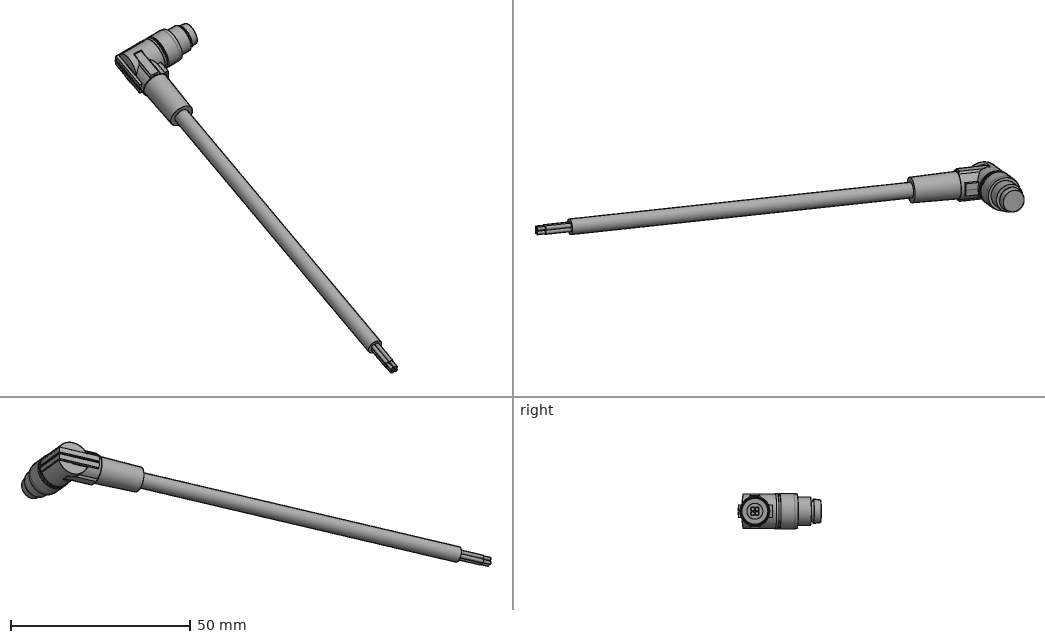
import cadquery as cq
import math


TOTAL_LENGTH = 138.6
TOTAL_WIDTH = 23.3
NECK_END = 15.0
SLEEVE_END = 28.4
CABLE_END = 128.8
INSULATION_END = 136.3

LEAN_ANGLE = 5.0
BODY_RADIUS = 4.9
COLLAR_RADIUS = 5.0
COLLAR_TOP_RADIUS = 4.9
GROOVE_RADIUS = 4.5
NOSE_RADIUS = 4.0
LATCH_GROOVE_RADIUS = 2.9
TIP_BASE_RADIUS = 3.5
TIP_END_RADIUS = 3.2
HEAD_BOTTOM = -5.5
RIM_BOTTOM = 5.7
RIM_TOP = 6.4
COLLAR_BOTTOM = 7.0
COLLAR_TAPER_START = 10.8
COLLAR_TOP = 11.8
NOSE_TOP = 15.5
TIP_BOTTOM = 16.4

ROOF_RIDGE_Y = -3.9
ROOF_EAVE_Y = -3.3

RIB_HALF_WIDTH = 1.8
RIB_EDGE_DROP = 0.1
RIB_REACH = 27.7
BACK_RIB_RADIUS = 5.0
UNDER_RIB_Y = -4.7
UPPER_RIB_Y = 5.0
LONG_RIB_END = 13.9
RIB_GROOVE_WIDTH = 0.4
RIB_GROOVE_DEPTH = 0.3

LEAN_SIN = math.sin(math.radians(LEAN_ANGLE))
LEAN_COS = math.cos(math.radians(LEAN_ANGLE))
HEAD_X = COLLAR_RADIUS * LEAN_COS + COLLAR_TAPER_START * LEAN_SIN
TIP_TOP = (TOTAL_WIDTH + UNDER_RIB_Y - TIP_END_RADIUS * LEAN_SIN) / LEAN_COS

NECK_RADIUS = 4.2
SLEEVE_START_RADIUS = 3.9
SLEEVE_END_RADIUS = 3.6
CABLE_RADIUS = 2.2

PAD_HEIGHT = 4.5
PAD_START = 5.5
PAD_END = NECK_END
PAD_END_CHAMFER = 0.4
PAD_HALF_WIDTH = 1.2
PAD_FOOT_HALF_WIDTH = 2.0
PAD_FOOT_HEIGHT = 3.5

WIRE_RADIUS = 0.62
CONDUCTOR_RADIUS = 0.49
WIRE_OFFSET = 0.6


def rod(start, end, radius, y=0.0, z=0.0):
    """Cylinder along X."""
    return cq.Workplane("YZ", origin=(start, y, z)).circle(radius).extrude(end - start)


def lean(shape):
    """Move a shape built around the Y axis onto the leaning head axis."""
    return shape.rotate((0, 0, 0), (0, 0, 1), LEAN_ANGLE).translate((HEAD_X, 0, 0))


def rib_section(plane, base, height):
    """Rib section from `base` out to a shallow ridge at the signed distance `height`."""
    edge = height - math.copysign(RIB_EDGE_DROP, height)
    return plane.polyline([
        (base, -RIB_HALF_WIDTH),
        (edge, -RIB_HALF_WIDTH),
        (height, 0),
        (edge, RIB_HALF_WIDTH),
        (base, RIB_HALF_WIDTH),
    ]).close()


def make_head():
    profile = [
        (0, HEAD_BOTTOM),
        (BODY_RADIUS, HEAD_BOTTOM),
        (BODY_RADIUS, RIM_BOTTOM),
        (COLLAR_RADIUS, RIM_BOTTOM),
        (COLLAR_RADIUS, RIM_TOP),
        (GROOVE_RADIUS, RIM_TOP),
        (GROOVE_RADIUS, COLLAR_BOTTOM),
        (COLLAR_RADIUS, COLLAR_BOTTOM),
        (COLLAR_RADIUS, COLLAR_TAPER_START),
        (COLLAR_TOP_RADIUS, COLLAR_TOP),
        (NOSE_RADIUS, COLLAR_TOP),
        (NOSE_RADIUS, NOSE_TOP),
        (LATCH_GROOVE_RADIUS, NOSE_TOP),
        (LATCH_GROOVE_RADIUS, TIP_BOTTOM),
        (TIP_BASE_RADIUS, TIP_BOTTOM),
        (TIP_END_RADIUS, TIP_TOP),
        (0, TIP_TOP),
    ]
    head = cq.Workplane("XY").polyline(profile).close().revolve(360, (0, 0, 0), (0, 1, 0))
    return lean(head)


def cut_roof(head):
    """End the head in two shallow slopes that fall away from a ridge along X."""
    far_below = 2 * HEAD_BOTTOM
    waste = (
        cq.Workplane("YZ", origin=(HEAD_X - 2 * BODY_RADIUS, 0, 0))
        .polyline([
            (ROOF_RIDGE_Y, 0),
            (ROOF_EAVE_Y, BODY_RADIUS),
            (ROOF_EAVE_Y, 2 * BODY_RADIUS),
            (far_below, 2 * BODY_RADIUS),
            (far_below, -2 * BODY_RADIUS),
            (ROOF_EAVE_Y, -2 * BODY_RADIUS),
            (ROOF_EAVE_Y, -BODY_RADIUS),
        ])
        .close()
        .extrude(4 * BODY_RADIUS)
    )
    return head.cut(waste)


def make_back_bar(base):
    """Long bar with the outline of the back rib, ending just under the rim."""
    plane = cq.Workplane("XZ", origin=(0, RIM_BOTTOM, 0))
    return lean(rib_section(plane, base, -BACK_RIB_RADIUS).extrude(RIB_REACH))


def make_under_bar(base):
    """Bar with the outline of the rib under the neck, reaching past the back of the head."""
    plane = cq.Workplane("YZ", origin=(LONG_RIB_END, 0, 0))
    return rib_section(plane, base, UNDER_RIB_Y).extrude(-RIB_REACH)


def make_corner_rib():
    """Back rib and under rib, each trimmed by the outer face of the other."""
    back_rib = make_back_bar(0).intersect(make_under_bar(RIB_REACH))
    under_rib = make_under_bar(0).intersect(make_back_bar(RIB_REACH))
    return back_rib.union(under_rib)


def make_upper_rib():
    plane = cq.Workplane("YZ", origin=(HEAD_X, 0, 0))
    return rib_section(plane, 0, UPPER_RIB_Y).extrude(LONG_RIB_END - HEAD_X)


def make_corner_grooves():
    """Narrow grooves along the ridges of the back rib and the under rib."""
    back = cq.Workplane("XY").box(
        2 * RIB_GROOVE_DEPTH, RIB_REACH, RIB_GROOVE_WIDTH
    ).translate((-BACK_RIB_RADIUS, RIM_BOTTOM - RIB_REACH / 2, 0))
    under = cq.Workplane("XY").box(
        RIB_REACH, 2 * RIB_GROOVE_DEPTH, RIB_GROOVE_WIDTH
    ).translate((LONG_RIB_END - RIB_REACH / 2, UNDER_RIB_Y, 0))
    return lean(back).union(under)


def make_pad_rib(side):
    """Raised part of a pad; side is 1 for +Z and -1 for -Z."""
    pad = (
        cq.Workplane("YZ", origin=(HEAD_X, 0, 0))
        .polyline([
            (-PAD_FOOT_HALF_WIDTH, 0),
            (-PAD_FOOT_HALF_WIDTH, side * PAD_FOOT_HEIGHT),
            (-PAD_HALF_WIDTH, side * PAD_HEIGHT),
            (PAD_HALF_WIDTH, side * PAD_HEIGHT),
            (PAD_FOOT_HALF_WIDTH, side * PAD_FOOT_HEIGHT),
            (PAD_FOOT_HALF_WIDTH, 0),
        ])
        .close()
        .extrude(PAD_END - HEAD_X)
    )
    end_edge = ">Z" if side > 0 else "<Z"
    return pad.faces(">X").edges(end_edge).chamfer(PAD_END_CHAMFER)


def make_pad_recess(side):
    """Cutter that sinks a pad into the head."""
    return cq.Workplane("XY").box(
        PAD_END - PAD_START, 2 * PAD_HALF_WIDTH, BODY_RADIUS, centered=(False, True, False)
    ).translate((PAD_START, 0, PAD_HEIGHT if side > 0 else -PAD_HEIGHT - BODY_RADIUS))


def make_sleeve():
    return (
        cq.Workplane("XY")
        .polyline([
            (HEAD_X, 0),
            (HEAD_X, NECK_RADIUS),
            (NECK_END, NECK_RADIUS),
            (NECK_END, SLEEVE_START_RADIUS),
            (SLEEVE_END, SLEEVE_END_RADIUS),
            (SLEEVE_END, 0),
        ])
        .close()
        .revolve(360, (0, 0, 0), (1, 0, 0))
    )


def make_wire(y, z):
    conductor = rod(CABLE_END, TOTAL_LENGTH, CONDUCTOR_RADIUS, y, z)
    return rod(CABLE_END, INSULATION_END, WIRE_RADIUS, y, z).union(conductor)


result = cut_roof(make_head()).union(make_sleeve())
result = result.union(make_corner_rib()).union(make_upper_rib()).cut(make_corner_grooves())
for pad_side in (1, -1):
    result = result.union(make_pad_rib(pad_side)).cut(make_pad_recess(pad_side))
result = result.union(rod(HEAD_X, CABLE_END, CABLE_RADIUS))
for wire_y in (-WIRE_OFFSET, WIRE_OFFSET):
    for wire_z in (-WIRE_OFFSET, WIRE_OFFSET):
        result = result.union(make_wire(wire_y, wire_z))